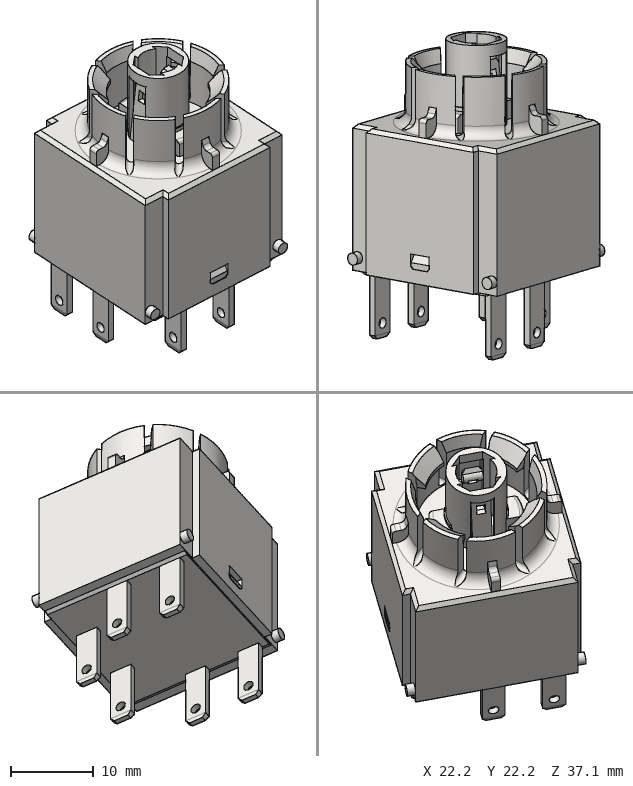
import cadquery as cq
import math

HOUSING_HEIGHT = 18.2
OUTER_SIZE = 22.2
END_BLOCK_WIDTH = 20.2
SIDE_BLOCK_LENGTH = 16.5
TOP_CHAMFER = 0.5
PIN_DIAMETER = 1.5
PIN_HEIGHT = 1.68

PLATE_LENGTH_X = 20.0
PLATE_LENGTH_Y = 19.7
PLATE_THICKNESS = 0.25
PLATE_BEVEL = 0.5

LATCH_WIDTH = 2.84
LATCH_BOTTOM = 1.77
LATCH_RAMP_BOTTOM = 2.54
LATCH_RAMP_TOP = 3.52
LATCH_TOP = 3.64
LATCH_DEPTH = 0.8
LATCH_RECESS = 0.1
LATCH_CHAMFER = 0.35

COLLAR_TOP = 25.8
COLLAR_FLOOR = 18.0
COLLAR_RADIUS = 8.57
BORE_RADIUS = 14.7 / 2
MOUTH_RADIUS = 7.95
MOUTH_DEPTH = 1.75
FLARE_RADIUS = 1.5
HOOK_RADIUS = 6.3
HOOK_TIP_HEIGHT = 0.6
HOOK_ANGLE = 39.0
SLOT_WIDTH = 1.0
SLOT_OFFSET = 3.0

RIB_WIDTH = 1.14
RIB_OUTER_RADIUS = 10.56
RIB_SHOULDER_RADIUS = 9.45
RIB_SHOULDER_HEIGHT = 2.27
RIB_TOP_HEIGHT = 3.4
RIB_HOLLOW_RADIUS = 8.8
RIB_HOLLOW_RISE = 0.45
RIB_CORNER_RADIUS = 0.45

SOCKET_TOP = 28.6
SOCKET_RADIUS = 7.4 / 2
SOCKET_BORE_RADIUS = 2.5
KEYWAY_HALF_LENGTH = 2.8
KEYWAY_NARROW_HALF_WIDTH = 1.42
KEYWAY_WIDE_HALF_WIDTH = 2.65
KEYWAY_START = 1.45
WINDOW_WIDTH = 3.0
WINDOW_TOP = 27.1
EAR_REACH = 5.75
EAR_WIDTH = 3.24
EAR_TOP = 20.3
EAR_EDGE_RADIUS = 0.5
EAR_CORNER_RADIUS = 0.5
EAR_PAD_RADIUS = 3.9
EAR_PAD_WIDTH = 2.8
EAR_PAD_TOP = 20.8

CONTACT_TOP = 26.35
CONTACT_FOOT = 3.5
CONTACT_FOOT_THICKNESS = 0.6
CONTACT_TIP = 2.43
CONTACT_WIDTH = 2.44
CONTACT_TIP_CHAMFER = 0.4
NOSE_UPPER = (2.0, 25.8)
NOSE_TIP = (1.4, 25.2)
NOSE_LOWER = (2.0, 24.4)
CONTACT_HOLE_WIDTH = 1.1
CONTACT_HOLE_BOTTOM = 23.7
CONTACT_HOLE_HEIGHT = 1.4

TERMINAL_THICKNESS = 0.87
TERMINAL_HOLE_DIAMETER = 1.3
TERMINAL_HOLE_TO_TIP = 1.85
TERMINAL_TIP_CHAMFER = 0.5
TERMINAL_TIP_THINNING = 0.1
TERMINAL_ROOT = 1.0
LONG_TERMINAL = 8.5
SHORT_TERMINAL = 8.35
TERMINALS = [
    (-7.55, 8.92, LONG_TERMINAL, 2.93),
    (0.0, 8.92, LONG_TERMINAL, 2.84),
    (7.55, 3.87, SHORT_TERMINAL, 2.93),
]


def box(size_x, size_y, bottom, top):
    """Block centred on the Z axis between two heights."""
    block = cq.Workplane("XY").workplane(offset=bottom)
    return block.rect(size_x, size_y).extrude(top - bottom)


def cylinder(radius, bottom, top):
    return cq.Workplane("XY").workplane(offset=bottom).circle(radius).extrude(top - bottom)


def around_axis(shape, angles):
    """Copies of a shape turned about the Z axis and joined."""
    joined = cq.Workplane("XY")
    for angle in angles:
        joined = joined.add(shape.rotate((0, 0, 0), (0, 0, 1), angle))
    return joined.combine()


def mirrored_pair(shape, plane):
    return shape.union(shape.mirror(plane))


def housing():
    end_block = box(END_BLOCK_WIDTH, OUTER_SIZE, 0, HOUSING_HEIGHT)
    side_block = box(OUTER_SIZE, SIDE_BLOCK_LENGTH, 0, HOUSING_HEIGHT)
    return end_block.union(side_block).faces(">Z").chamfer(TOP_CHAMFER)


def corner_pins():
    pin_y = (OUTER_SIZE - PIN_DIAMETER) / 2
    pins = cq.Workplane("YZ").pushPoints([(-pin_y, PIN_HEIGHT), (pin_y, PIN_HEIGHT)])
    return pins.circle(PIN_DIAMETER / 2).extrude(OUTER_SIZE / 2, both=True)


def base_plate():
    half_top = PLATE_LENGTH_Y / 2
    half_bottom = half_top - PLATE_BEVEL
    profile = [
        (-half_top, 0),
        (half_top, 0),
        (half_bottom, -PLATE_THICKNESS),
        (-half_bottom, -PLATE_THICKNESS),
    ]
    return cq.Workplane("YZ").polyline(profile).close().extrude(PLATE_LENGTH_X / 2, both=True)


def latch_windows():
    """Recess whose floor starts near the face and ramps inward towards the top."""
    face = OUTER_SIZE / 2
    profile = [
        (face, LATCH_BOTTOM),
        (face - LATCH_RECESS, LATCH_BOTTOM),
        (face - LATCH_RECESS, LATCH_RAMP_BOTTOM),
        (face - LATCH_DEPTH, LATCH_RAMP_TOP),
        (face - LATCH_DEPTH, LATCH_TOP),
        (face, LATCH_TOP),
    ]
    recess = cq.Workplane("XZ").polyline(profile).close().extrude(LATCH_WIDTH / 2, both=True)
    recess = recess.faces("<Z").edges("|X").chamfer(LATCH_CHAMFER)
    return mirrored_pair(recess, "YZ")


def collar_ring():
    """Ring with a widened mouth at the rim and a concave flare at its foot."""
    flare_outer = COLLAR_RADIUS + FLARE_RADIUS
    flare_top = HOUSING_HEIGHT + FLARE_RADIUS
    flare_middle = (
        flare_outer - FLARE_RADIUS * math.sqrt(0.5),
        flare_top - FLARE_RADIUS * math.sqrt(0.5),
    )
    section = (
        cq.Workplane("XZ")
        .moveTo(BORE_RADIUS, HOUSING_HEIGHT)
        .lineTo(flare_outer, HOUSING_HEIGHT)
        .threePointArc(flare_middle, (COLLAR_RADIUS, flare_top))
        .lineTo(COLLAR_RADIUS, COLLAR_TOP)
        .lineTo(MOUTH_RADIUS, COLLAR_TOP)
        .lineTo(BORE_RADIUS, COLLAR_TOP - MOUTH_DEPTH)
        .close()
    )
    return section.revolve(360, (0, 0, 0), (0, 1, 0))


def collar_hooks():
    """Inward hooks on the four diagonal collar fingers."""
    tip_top = COLLAR_TOP - MOUTH_DEPTH
    tip_bottom = tip_top - HOOK_TIP_HEIGHT
    root_radius = (BORE_RADIUS + COLLAR_RADIUS) / 2
    profile = [
        (HOOK_RADIUS, tip_bottom),
        (HOOK_RADIUS, tip_top),
        (MOUTH_RADIUS, COLLAR_TOP),
        (root_radius, tip_bottom),
    ]
    section = cq.Workplane("XZ").polyline(profile).close()
    hook = section.revolve(HOOK_ANGLE, (0, 0, 0), (0, 1, 0))
    centre = hook.val().Center()
    to_diagonal = 45 - math.degrees(math.atan2(centre.y, centre.x))
    return around_axis(hook, [to_diagonal + 90 * i for i in range(4)])


def collar_slots():
    """Round-bottomed slots, one each side of every diagonal."""
    axis_height = HOUSING_HEIGHT + SLOT_WIDTH / 2
    inner = SOCKET_RADIUS
    length = OUTER_SIZE / 2 - inner
    straight_height = COLLAR_TOP - axis_height
    slots = cq.Workplane("YZ").workplane(offset=inner)
    slots = slots.pushPoints([(-SLOT_OFFSET, axis_height), (SLOT_OFFSET, axis_height)])
    rounds = slots.circle(SLOT_WIDTH / 2).extrude(length)
    straights = slots.rect(SLOT_WIDTH, 2 * straight_height).extrude(length)
    above = box(2 * OUTER_SIZE, OUTER_SIZE, axis_height, COLLAR_TOP)
    return around_axis(rounds.union(straights.intersect(above)), [45, 135, 225, 315])


def ribs():
    shoulder = HOUSING_HEIGHT + RIB_SHOULDER_HEIGHT
    top = HOUSING_HEIGHT + RIB_TOP_HEIGHT
    inner = BORE_RADIUS + (COLLAR_RADIUS - BORE_RADIUS) / 2
    rib = (
        cq.Workplane("XZ")
        .moveTo(inner, HOUSING_HEIGHT)
        .lineTo(RIB_OUTER_RADIUS, HOUSING_HEIGHT)
        .lineTo(RIB_OUTER_RADIUS, shoulder)
        .lineTo(RIB_SHOULDER_RADIUS, shoulder)
        .tangentArcPoint((RIB_HOLLOW_RADIUS, shoulder + RIB_HOLLOW_RISE), relative=False)
        .lineTo(COLLAR_RADIUS, top)
        .lineTo(inner, top)
        .close()
        .extrude(RIB_WIDTH / 2, both=True)
    )
    rib = rib.faces(">X").edges(">Z").fillet(RIB_CORNER_RADIUS)
    return around_axis(rib, [0, 90, 180, 270])


def socket_ears():
    """Round-ended ears towards +X and -X with a low pad above each."""
    rounded_box = box(2 * EAR_REACH, EAR_WIDTH, COLLAR_FLOOR, EAR_TOP)
    rounded_box = rounded_box.edges("|Z").fillet(EAR_CORNER_RADIUS)
    ears = cylinder(EAR_REACH, COLLAR_FLOOR, EAR_TOP).faces(">Z").edges().fillet(EAR_EDGE_RADIUS)
    ears = ears.intersect(rounded_box)
    pads = cylinder(EAR_PAD_RADIUS, COLLAR_FLOOR, EAR_PAD_TOP)
    pads = pads.intersect(box(2 * EAR_REACH, EAR_PAD_WIDTH, COLLAR_FLOOR, EAR_PAD_TOP))
    return ears.union(pads)


def socket_bore():
    """Round bore joined by a tapering keyway towards +Y and -Y."""
    keyway = [
        (-KEYWAY_WIDE_HALF_WIDTH, KEYWAY_START),
        (KEYWAY_WIDE_HALF_WIDTH, KEYWAY_START),
        (KEYWAY_NARROW_HALF_WIDTH, KEYWAY_HALF_LENGTH),
        (-KEYWAY_NARROW_HALF_WIDTH, KEYWAY_HALF_LENGTH),
    ]
    depth = SOCKET_TOP - COLLAR_FLOOR
    cut = cq.Workplane("XY").workplane(offset=COLLAR_FLOOR).polyline(keyway).close().extrude(depth)
    return mirrored_pair(cut, "XZ").union(cylinder(SOCKET_BORE_RADIUS, COLLAR_FLOOR, SOCKET_TOP))


def lamp_socket():
    socket = cylinder(SOCKET_RADIUS, COLLAR_FLOOR, SOCKET_TOP).union(socket_ears())
    windows = box(WINDOW_WIDTH, 2 * SOCKET_RADIUS, COLLAR_FLOOR, WINDOW_TOP)
    return socket.cut(socket_bore()).cut(windows)


def lamp_contacts():
    """Leaf springs leaning inward, each ending in a rounded contact nose."""
    profile = (
        cq.Workplane("YZ")
        .moveTo(CONTACT_FOOT - CONTACT_FOOT_THICKNESS, COLLAR_FLOOR)
        .lineTo(CONTACT_FOOT, COLLAR_FLOOR)
        .lineTo(CONTACT_TIP, CONTACT_TOP)
        .lineTo(*NOSE_UPPER)
        .threePointArc(NOSE_TIP, NOSE_LOWER)
        .close()
    )
    leaf = profile.extrude(CONTACT_WIDTH / 2, both=True)
    half = CONTACT_WIDTH / 2
    corner = [
        (half, CONTACT_TOP),
        (half - CONTACT_TIP_CHAMFER, CONTACT_TOP),
        (half, CONTACT_TOP - CONTACT_TIP_CHAMFER),
    ]
    corner_cut = cq.Workplane("XZ").polyline(corner).close().extrude(-CONTACT_FOOT)
    leaf = leaf.cut(mirrored_pair(corner_cut, "YZ"))
    hole_top = CONTACT_HOLE_BOTTOM + CONTACT_HOLE_HEIGHT
    leaf = leaf.cut(box(CONTACT_HOLE_WIDTH, 2 * CONTACT_FOOT, CONTACT_HOLE_BOTTOM, hole_top))
    return mirrored_pair(leaf, "XZ")


def terminal(x, y, length, width):
    """Flat tab with a bevelled tip and a cross hole."""
    blade = (
        cq.Workplane("XY")
        .box(width, TERMINAL_THICKNESS, length + TERMINAL_ROOT, centered=(True, True, False))
        .translate((0, 0, -length))
    )
    blade = blade.faces("<Z").edges("|Y").chamfer(TERMINAL_TIP_CHAMFER)
    blade = blade.faces("<Z").edges("|X").chamfer(TERMINAL_TIP_CHAMFER, TERMINAL_TIP_THINNING)
    hole = (
        cq.Workplane("XZ")
        .center(0, TERMINAL_HOLE_TO_TIP - length)
        .circle(TERMINAL_HOLE_DIAMETER / 2)
        .extrude(TERMINAL_THICKNESS, both=True)
    )
    return blade.cut(hole).translate((x, y, 0))


floor_recess = cylinder(BORE_RADIUS, COLLAR_FLOOR, HOUSING_HEIGHT)
result = housing().cut(floor_recess).union(corner_pins()).union(base_plate()).cut(latch_windows())
collar = collar_ring().union(collar_hooks()).union(ribs()).cut(collar_slots())
result = result.union(collar).union(lamp_socket()).union(lamp_contacts())
for place in TERMINALS:
    result = result.union(mirrored_pair(terminal(*place), "XZ"))